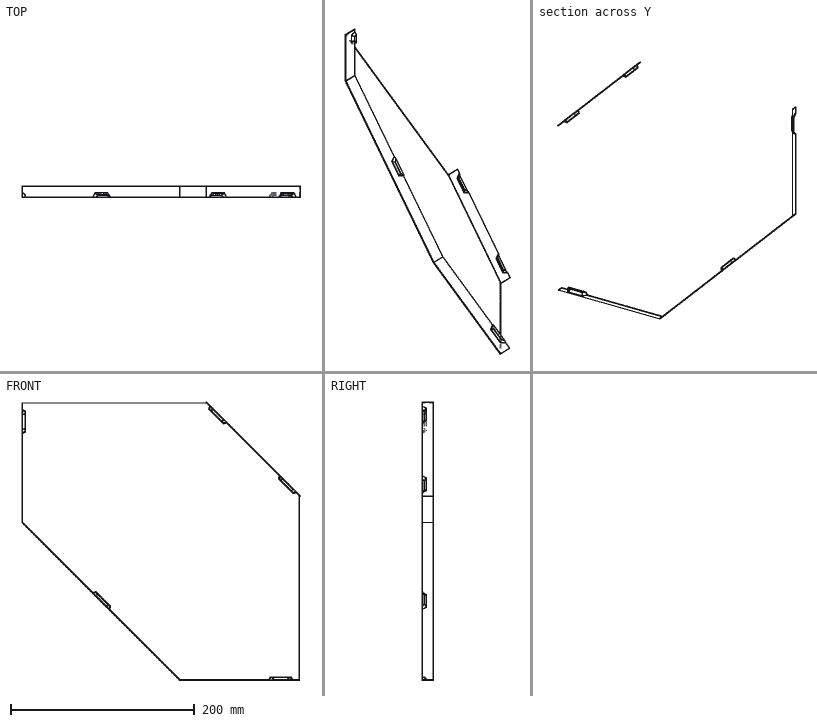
import cadquery as cq
import math

overall = 303.3
depth = 12.5
sheet = 0.75
tip_overhang = 1.2
plate_side = overall - tip_overhang
lower_cut = 171.5
upper_start = 200.8

dimple_length = 24.5
dimple_height = 4.2
dimple_offset = 3.0
end_taper = 3.3
floor_taper = 2.0
straight_inset = 20.3
upper_inset = 18.8

bottom_right = (plate_side, 0)
bottom_left = (lower_cut, 0)
left_bottom = (0, lower_cut)
left_top = (0, plate_side)
upper_left_tip = (upper_start, overall)
upper_right_tip = (overall, upper_start)
upper_sum = overall + upper_start

lower_length = math.dist(bottom_left, left_bottom)
upper_length = math.dist(upper_left_tip, upper_right_tip)
straight_length = plate_side - lower_cut


def make_plate():
    """Six-sided sheet on the +Y side."""
    outline = [
        bottom_right,
        bottom_left,
        left_bottom,
        left_top,
        (upper_sum - plate_side, plate_side),
        (plate_side, upper_sum - plate_side),
    ]
    return cq.Workplane("XZ", origin=(0, depth, 0)).polyline(outline).close().extrude(sheet)


def flange_plane(start, end, along, inward):
    """Plane on the outer flange face: x along it, y toward the free edge, z inward."""
    length = math.dist(start, end)
    dx = (end[0] - start[0]) / length
    dz = (end[1] - start[1]) / length
    origin = (start[0] + along * dx + inward * dz, 0, start[1] + along * dz - inward * dx)
    return cq.Plane(origin=origin, xDir=(dx, 0, dz), normal=(dz, 0, -dx))


def dimple_profile(work, length, height):
    """Trapezoid widening toward the free edge at y = 0."""
    half = length / 2
    top_half = half - end_taper
    points = [(-half, 0), (half, 0), (top_half, -height), (-top_half, -height)]
    return work.polyline(points).close()


def dimple_body(start, end, along, inward, growth):
    """Tapered dimple volume, enlarged by growth and rooted inward of the flange face."""
    root = cq.Workplane(flange_plane(start, end, along, inward))
    length = dimple_length + 2 * growth
    height = dimple_height + growth
    root = dimple_profile(root, length, height).workplane(offset=dimple_offset)
    floor = dimple_profile(root, length - end_taper, height - floor_taper)
    return floor.loft(ruled=True)


def add_flange(body, start, end, dimple_centres):
    """Add a flange from start to end with its dimples."""
    length = math.dist(start, end)
    wall = cq.Workplane(flange_plane(start, end, 0, 0)).rect(length, -depth, centered=False).extrude(sheet)
    body = body.union(wall)
    for centre in dimple_centres:
        body = body.union(dimple_body(start, end, centre, sheet, sheet))
    for centre in dimple_centres:
        body = body.cut(dimple_body(start, end, centre, 0, 0))
    return body


result = make_plate()
result = add_flange(result, bottom_right, bottom_left, [straight_inset])
result = add_flange(result, bottom_left, left_bottom, [lower_length / 2])
result = add_flange(result, left_bottom, left_top, [straight_length - straight_inset])
result = add_flange(result, upper_left_tip, upper_right_tip, [upper_inset, upper_length - upper_inset])